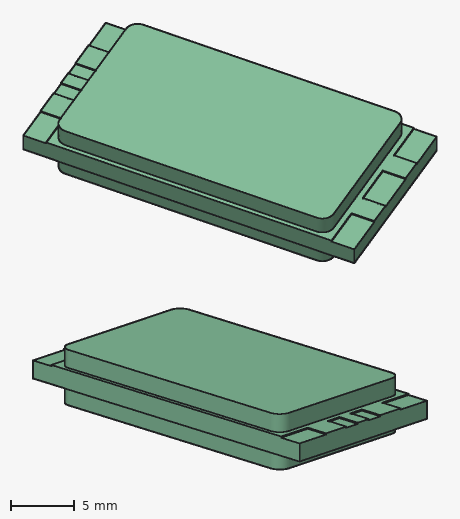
import cadquery as cq

board_length = 29.0
board_width = 14.4
board_thickness = 1.6

overall_height = 4.6
cover_height = (overall_height - board_thickness) / 2
cover_end_margin = 2.5
cover_side_margin = 0.4
cover_length = board_length - 2 * cover_end_margin
cover_width = board_width - 2 * cover_side_margin
cover_corner_radius = 1.0

pad_length = 2.0
pad_depth = 0.1
left_corner_pad_width = 3.0
left_signal_pad_width = 1.3
left_signal_pad_pitch = 2.54
right_pad_width = 3.5

board_top = board_thickness / 2


def corner_pad_offset(pad_width):
    """Distance from the centreline to a pad that is flush with a long side."""
    return (board_width - pad_width) / 2


def make_cover():
    """Cover block with rounded vertical corners, standing on the board's top face."""
    return (
        cq.Workplane("XY")
        .workplane(offset=board_top)
        .rect(cover_length, cover_width)
        .extrude(cover_height)
        .edges("|Z")
        .fillet(cover_corner_radius)
    )


def pad_recess(end, y_center, pad_width):
    """Cutter for one pad; end is -1 for the -X end and +1 for the +X end."""
    x_center = end * (board_length - pad_length) / 2
    return (
        cq.Workplane("XY")
        .box(pad_length, pad_width, pad_depth)
        .translate((x_center, y_center, board_top - pad_depth / 2))
    )


board = cq.Workplane("XY").box(board_length, board_width, board_thickness)

top_cover = make_cover()
bottom_cover = top_cover.mirror("XY")
result = board.union(top_cover).union(bottom_cover)

for side in (-1, 1):
    corner_y = side * corner_pad_offset(left_corner_pad_width)
    signal_y = side * left_signal_pad_pitch / 2
    result = result.cut(pad_recess(-1, corner_y, left_corner_pad_width))
    result = result.cut(pad_recess(-1, signal_y, left_signal_pad_width))

for position in (-1, 0, 1):
    pad_y = position * corner_pad_offset(right_pad_width)
    result = result.cut(pad_recess(1, pad_y, right_pad_width))